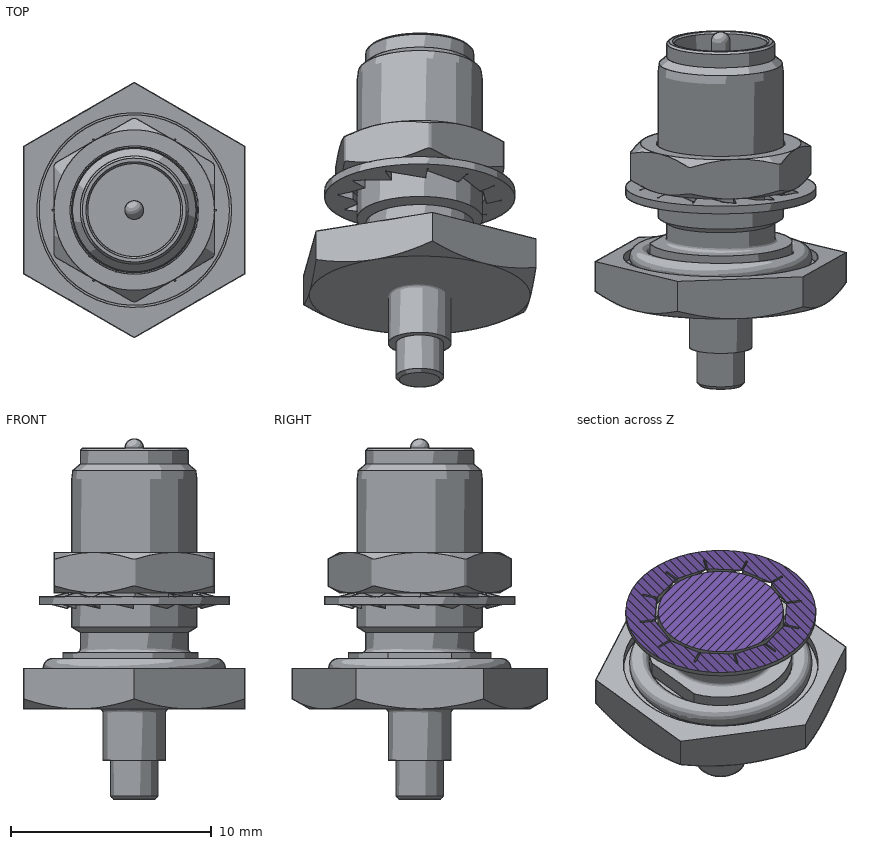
import cadquery as cq
import math


tail_radius = 1.18
tail_chamfer = 0.16
ferrule_radius = 1.56
ferrule_bottom = 1.94
root_fillet = 0.2

flange_bottom = 4.5
flange_height = 2.01
flange_across_flats = 11.0
flange_top = flange_bottom + flange_height

ring_section_radius = 0.5
ring_mid_radius = 4.04
ring_center = flange_top
recess_radius = 4.85
recess_depth = 0.47

boss_radius = 3.55
boss_flat = 3.18
boss_top = 7.3

neck_radius = 2.7
thread_radius = 3.12
lower_neck_top = 8.31
thread_bottom = 8.58
thread_top = 15.94
shoulder_radius = 3.07
shoulder_bottom = 16.37
shoulder_top = 16.7
lip_top = 17.48
lip_chamfer = 0.1

socket_radius = 2.32
socket_depth = 1.08
socket_floor = lip_top - socket_depth
socket_chamfer = 0.09
pin_radius = 0.47
pin_top = 17.95

washer_bottom = 9.7
washer_thickness = 0.4
washer_radius = 4.74
tooth_count = 12
tooth_root = 3.95
tooth_tip = 3.23
tooth_twist = 0.2
tooth_gap = 0.07

nut_bottom = washer_bottom + washer_thickness + tooth_twist
nut_height = 2.01
nut_across_flats = 7.99
nut_hole_radius = 3.2
nut_corner_radius = 0.29

hex_chamfer_angle = 30


def hex_prism(across_flats, bottom, height):
    """Hexagonal prism with corners on the Y axis and flats facing +X and -X."""
    corner_diameter = across_flats / math.cos(math.radians(30))
    return (
        cq.Workplane("XY")
        .workplane(offset=bottom)
        .transformed(rotate=(0, 0, 90))
        .polygon(6, corner_diameter)
        .extrude(height)
    )


def chamfer_envelope(across_flats, bottom, height, both_ends):
    """Cylinder around a hexagon, coned so that its end circles touch the flats."""
    end_radius = across_flats / 2
    outer_radius = across_flats * 0.6
    cone_height = (outer_radius - end_radius) * math.tan(math.radians(hex_chamfer_angle))
    top = bottom + height
    outline = cq.Workplane("XZ").moveTo(0, bottom).lineTo(end_radius, bottom)
    outline = outline.lineTo(outer_radius, bottom + cone_height)
    if both_ends:
        outline = outline.lineTo(outer_radius, top - cone_height).lineTo(end_radius, top)
    else:
        outline = outline.lineTo(outer_radius, top)
    return outline.lineTo(0, top).close().revolve(360, (0, 0, 0), (0, 1, 0))


def make_tail():
    """Stepped tail, filleted into the flange above it."""
    fillet_start = flange_bottom - root_fillet
    return (
        cq.Workplane("XZ")
        .lineTo(tail_radius - tail_chamfer, 0)
        .lineTo(tail_radius, tail_chamfer)
        .lineTo(tail_radius, ferrule_bottom)
        .lineTo(ferrule_radius, ferrule_bottom)
        .lineTo(ferrule_radius, fillet_start)
        .radiusArc((ferrule_radius + root_fillet, flange_bottom), root_fillet)
        .lineTo(0, flange_bottom)
        .close()
        .revolve(360, (0, 0, 0), (0, 1, 0))
    )


def make_flange():
    """Hexagon chamfered on its lower side, with the O-ring recess in its top."""
    prism = hex_prism(flange_across_flats, flange_bottom, flange_height)
    flange = prism.intersect(chamfer_envelope(flange_across_flats, flange_bottom, flange_height, False))
    recess = (
        cq.Workplane("XY")
        .workplane(offset=flange_top - recess_depth)
        .circle(recess_radius)
        .circle(boss_radius)
        .extrude(recess_depth)
    )
    return flange.cut(recess)


def make_boss():
    """Round boss whose part above the flange has one flat."""
    bottom = flange_top - recess_depth
    height = boss_top - bottom
    boss = cq.Workplane("XY").workplane(offset=bottom).circle(boss_radius).extrude(height)
    keep = (
        cq.Workplane("XY")
        .workplane(offset=flange_top)
        .center(boss_flat - boss_radius, 0)
        .rect(2 * boss_radius, 2 * boss_radius)
        .extrude(height)
    )
    below_flat = cq.Workplane("XY").workplane(offset=bottom).circle(boss_radius).extrude(recess_depth)
    return boss.intersect(keep).union(below_flat)


def make_barrel():
    """Lower neck, threaded length, shoulder and lip, with the socket bored into the end."""
    return (
        cq.Workplane("XZ")
        .moveTo(0, boss_top)
        .lineTo(neck_radius + root_fillet, boss_top)
        .radiusArc((neck_radius, boss_top + root_fillet), root_fillet)
        .lineTo(neck_radius, lower_neck_top)
        .lineTo(thread_radius, thread_bottom)
        .lineTo(thread_radius, thread_top)
        .lineTo(shoulder_radius, shoulder_bottom)
        .lineTo(neck_radius, shoulder_top)
        .lineTo(neck_radius, lip_top - lip_chamfer)
        .lineTo(neck_radius - lip_chamfer, lip_top)
        .lineTo(socket_radius + socket_chamfer, lip_top)
        .lineTo(socket_radius, lip_top - socket_chamfer)
        .lineTo(socket_radius, socket_floor)
        .lineTo(0, socket_floor)
        .close()
        .revolve(360, (0, 0, 0), (0, 1, 0))
    )


def make_pin():
    """Contact pin with a hemispherical tip."""
    dome_start = pin_top - pin_radius
    return (
        cq.Workplane("XZ")
        .moveTo(0, socket_floor)
        .lineTo(pin_radius, socket_floor)
        .lineTo(pin_radius, dome_start)
        .radiusArc((0, pin_top), -pin_radius)
        .close()
        .revolve(360, (0, 0, 0), (0, 1, 0))
    )


def make_o_ring():
    """Round-section ring around the boss."""
    return (
        cq.Workplane("XZ")
        .center(ring_mid_radius, ring_center)
        .circle(ring_section_radius)
        .revolve(360, (-ring_mid_radius, 0, 0), (-ring_mid_radius, 1, 0))
    )


def make_housing():
    """Connector body in one piece from tail to pin."""
    housing = make_tail().union(make_flange()).union(make_boss())
    housing = housing.union(make_barrel()).union(make_pin())
    return housing.union(make_o_ring())


def tooth_section(distance, twist):
    """End outline of a tooth at a distance from the axis, with one side raised and the other lowered."""
    half_width = distance * math.tan(math.pi / tooth_count) - tooth_gap / 2
    top = washer_bottom + washer_thickness
    return cq.Wire.makePolygon(
        [
            cq.Vector(distance, -half_width, washer_bottom + twist),
            cq.Vector(distance, half_width, washer_bottom - twist),
            cq.Vector(distance, half_width, top - twist),
            cq.Vector(distance, -half_width, top + twist),
        ],
        close=True,
    )


def make_washer():
    """Flat ring with a twelve-sided opening and one twisted tooth on each of its sides."""
    opening_diameter = 2 * tooth_root / math.cos(math.pi / tooth_count)
    blank = (
        cq.Workplane("XY")
        .workplane(offset=washer_bottom)
        .circle(washer_radius)
        .polygon(tooth_count, opening_diameter)
        .extrude(washer_thickness)
    )
    tooth = cq.Solid.makeLoft([tooth_section(tooth_root, 0), tooth_section(tooth_tip, tooth_twist)], True)
    pitch = 360 / tooth_count
    teeth = []
    for index in range(tooth_count):
        angle = (index + 0.5) * pitch
        teeth.append(tooth.rotate(cq.Vector(), cq.Vector(0, 0, 1), angle))
    return cq.Workplane(blank.val().fuse(*teeth).Solids()[0])


def make_nut():
    """Hexagonal nut with rounded corners, chamfered at both ends."""
    prism = hex_prism(nut_across_flats, nut_bottom, nut_height).edges("|Z").fillet(nut_corner_radius)
    nut = prism.intersect(chamfer_envelope(nut_across_flats, nut_bottom, nut_height, True))
    return nut.faces(">Z").workplane().circle(nut_hole_radius).cutThruAll()


housing = make_housing()
washer = make_washer()
nut = make_nut()

result = cq.Compound.makeCompound([housing.val(), washer.val(), nut.val()])